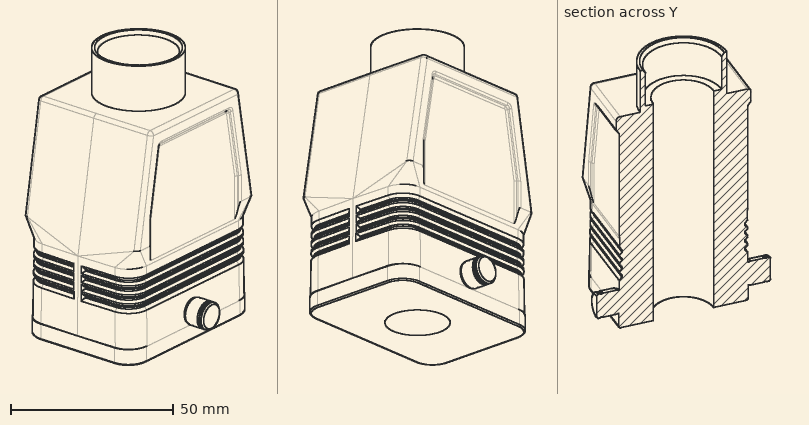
import cadquery as cq
import math

skirt_top = 5.4
groove_bottom = 17.4
groove_top = 29.2
body_top = 32.3
hood_bottom = 39.2
hood_top = 77.1
total_height = 92.25

body_half_x = 21.6
body_half_y = 30.0
body_corner = 7.0
body_side_draft = 0.32
body_end_draft = 0.2
body_end_slope = 0.02
rim_chamfer = 0.5

groove_count = 4
groove_depth = 0.88
groove_floor = 0.6
groove_flank = 0.88
groove_land = 0.6
groove_pitch = groove_floor + 2 * groove_flank + groove_land
bridge_half_width = 1.3

hood_half_x = 22.5
hood_edge = 1.4
hood_end_angle = 10.1
hood_end_slope = 0.005

recess_depth = 1.0
recess_edge = 1.2
recess_corner = 1.5
recess_top = 71.1
recess_knee = 48.0
recess_bottom = body_top - 0.9
recess_top_half_y = 16.8
recess_knee_half_y = 20.9

neck_radius = 14.5
neck_bore_radius = 12.6
neck_bore_depth = 13.2
neck_lead_in = 0.9
neck_lead_in_depth = 1.3
passage_radius = 10.1

pin_span = 58.0
pin_diameter = 8.95
pin_radius = pin_diameter / 2
pin_height = 9.7
pin_chamfer = 0.55
pin_groove_depth = 0.3
pin_groove_width = 0.9
pin_groove_inset = 1.2
pin_root_width = 0.6


def section(half_x, half_y, end_slope, corner, z):
    """Rounded rectangle at height z; its ends fall back from the middle at end_slope."""
    corner_y = half_y - end_slope * half_x
    points = [
        (-half_x, -corner_y),
        (0, -half_y),
        (half_x, -corner_y),
        (half_x, corner_y),
        (0, half_y),
        (-half_x, corner_y),
        (-half_x, -corner_y),
    ]
    sketch = cq.Sketch().polygon(points)
    if corner > 0:
        sketch = sketch.vertices("<X or >X").fillet(corner)
    return sketch.moved(cq.Location(cq.Vector(0, 0, z)))


def loft(lower, upper):
    """Straight-walled solid between two sections."""
    return cq.Workplane("XY").placeSketch(lower, upper).loft(ruled=True)


def body_section(z, depth=0.0):
    """Outline of the drafted body at height z, moved inwards by depth."""
    drafted_part = (z - skirt_top) / (body_top - skirt_top)
    half_x = body_half_x - body_side_draft * drafted_part - depth
    half_y = body_half_y - body_end_draft * drafted_part - depth
    return section(half_x, half_y, body_end_slope, body_corner - depth, z)


def hood_half_y(z):
    """Half length of the hood at height z, on ends that start from the top edge of the body."""
    body_top_half_y = body_half_y - body_end_draft
    return body_top_half_y - (z - body_top) * math.tan(math.radians(hood_end_angle))


def make_skirt():
    outline = section(body_half_x, body_half_y, 0, body_corner, 0)
    skirt = cq.Workplane("XY").placeSketch(outline).extrude(skirt_top)
    return skirt.faces("<Z").edges().chamfer(rim_chamfer)


def make_grooved_band():
    """Body wall with trapezoidal grooves, bridged at the middle of both ends."""
    levels = [(groove_bottom, 0.0)]
    middle = (groove_bottom + groove_top) / 2
    for index in range(groove_count):
        centre = middle + (index - (groove_count - 1) / 2) * groove_pitch
        floor_low = centre - groove_floor / 2
        floor_high = centre + groove_floor / 2
        if index > 0:
            levels.append((floor_low - groove_flank, 0.0))
        levels.append((floor_low, groove_depth))
        levels.append((floor_high, groove_depth))
        if index < groove_count - 1:
            levels.append((floor_high + groove_flank, 0.0))
    levels.append((groove_top, 0.0))

    spread = 2 * groove_depth
    root_x = bridge_half_width + spread
    root_y = body_half_y - spread
    bridge_points = [
        (bridge_half_width, body_half_y),
        (root_x, root_y),
        (root_x, -root_y),
        (bridge_half_width, -body_half_y),
        (-bridge_half_width, -body_half_y),
        (-root_x, -root_y),
        (-root_x, root_y),
        (-bridge_half_width, body_half_y),
    ]
    bridge = (
        cq.Workplane("XY", origin=(0, 0, groove_bottom))
        .polyline(bridge_points)
        .close()
        .extrude(groove_top - groove_bottom)
    )
    band = loft(body_section(groove_bottom), body_section(groove_top)).intersect(bridge)
    for (low, low_depth), (high, high_depth) in zip(levels, levels[1:]):
        band = band.union(loft(body_section(low, low_depth), body_section(high, high_depth)))
    return band


def make_body():
    lower_wall = loft(body_section(skirt_top), body_section(groove_bottom))
    upper_wall = loft(body_section(groove_top), body_section(body_top))
    return make_skirt().union(lower_wall).union(make_grooved_band()).union(upper_wall)


def make_flare():
    """Transition from the body corners to the tighter hood corners."""
    meeting_x = hood_half_x - hood_edge
    flare_half_y = hood_half_y(hood_bottom) + (body_end_slope - hood_end_slope) * meeting_x
    flare_top = section(hood_half_x, flare_half_y, body_end_slope, hood_edge, hood_bottom)
    flare = loft(body_section(body_top), flare_top)
    wide = 2 * hood_half_x
    end_planes = loft(
        section(wide, hood_half_y(body_top), hood_end_slope, 0, body_top),
        section(wide, hood_half_y(hood_bottom), hood_end_slope, 0, hood_bottom),
    )
    return flare.intersect(end_planes)


def make_hood():
    hood = loft(
        section(hood_half_x, hood_half_y(hood_bottom), hood_end_slope, 0, hood_bottom),
        section(hood_half_x, hood_half_y(hood_top), hood_end_slope, 0, hood_top),
    )
    return hood.faces("<X or >X or >Z").edges("not <Z").fillet(hood_edge)


def make_recess_cutter(side):
    """Side recess with flanks at 45 degrees, rounded at the floor and at the outer lip."""
    points = [
        (-recess_knee_half_y, recess_bottom),
        (-recess_knee_half_y, recess_knee),
        (-recess_top_half_y, recess_top),
        (recess_top_half_y, recess_top),
        (recess_knee_half_y, recess_knee),
        (recess_knee_half_y, recess_bottom),
    ]
    floor_x = hood_half_x - recess_depth
    flare_out = 2 * recess_depth
    floor_outline = cq.Workplane("YZ", origin=(floor_x, 0, 0)).polyline(points).close()
    outer_outline = (
        cq.Workplane("YZ", origin=(floor_x + flare_out, 0, 0))
        .polyline(points)
        .close()
        .offset2D(flare_out, "intersection")
    )
    pocket = cq.Workplane(cq.Solid.makeLoft([floor_outline.val(), outer_outline.val()], True))
    top_corners = pocket.edges("not #X").edges(">(0, 1, 10) or >(0, -1, 10)")
    pocket = pocket.newObject(top_corners.vals()).fillet(recess_corner)

    plate = cq.Workplane("YZ", origin=(hood_half_x, 0, total_height / 2))
    plate = plate.rect(2 * body_half_y, total_height).extrude(recess_depth)
    cutter = pocket.union(plate)
    lip_margin = 0.1
    lip_zone = cq.selectors.BoxSelector(
        (hood_half_x - lip_margin, -body_half_y + lip_margin, lip_margin),
        (hood_half_x + lip_margin, body_half_y - lip_margin, total_height - lip_margin),
    )
    cutter = cutter.edges(lip_zone).fillet(recess_edge)
    cutter = cutter.faces("<X").edges().fillet(recess_edge)
    if side < 0:
        cutter = cutter.mirror("YZ")
    return cutter


def make_pin(side):
    """Pin with a chamfered tip, a V groove near the tip and a thinner root at the wall."""
    tip = pin_span / 2
    groove_start = tip - pin_groove_inset
    groove_end = groove_start - pin_groove_width
    groove_middle = (groove_start + groove_end) / 2
    root_radius = pin_radius - pin_groove_depth
    profile = [
        (0, 0),
        (0, root_radius),
        (body_half_x, root_radius),
        (body_half_x + pin_root_width, pin_radius),
        (groove_end, pin_radius),
        (groove_middle, root_radius),
        (groove_start, pin_radius),
        (tip - pin_chamfer, pin_radius),
        (tip, pin_radius - pin_chamfer),
        (tip, 0),
    ]
    points = [(side * x, radius) for x, radius in profile]
    pin = cq.Workplane("XZ").polyline(points).close().revolve(360, (0, 0, 0), (1, 0, 0))
    return pin.translate((0, 0, pin_height))


def make_neck():
    height = total_height - hood_top
    return cq.Workplane("XY", origin=(0, 0, hood_top)).circle(neck_radius).extrude(height)


def make_entry_bore():
    """Flared and stepped bore of the cable entry, running through to the bottom."""
    bore_floor = total_height - neck_bore_depth
    profile = [
        (0, 0),
        (passage_radius, 0),
        (passage_radius, bore_floor),
        (neck_bore_radius, bore_floor),
        (neck_bore_radius, total_height - neck_lead_in_depth),
        (neck_bore_radius + neck_lead_in, total_height),
        (0, total_height),
    ]
    return cq.Workplane("XZ").polyline(profile).close().revolve(360, (0, 0, 0), (0, 1, 0))


shell = make_body().union(make_flare()).union(make_hood()).union(make_neck())
for side in (-1, 1):
    shell = shell.cut(make_recess_cutter(side))
    shell = shell.union(make_pin(side))
result = shell.cut(make_entry_bore())